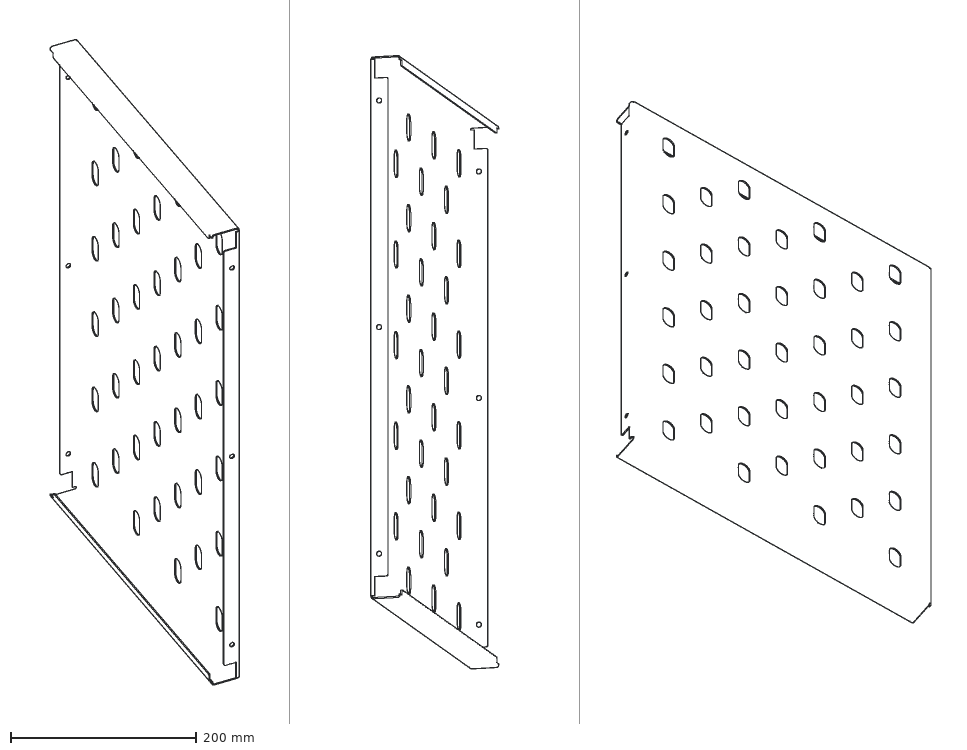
import math

import cadquery as cq

width = 398.0
depth = 33.0
height = 598.0

thickness = 1.5
inner_radius = 1.5
outer_radius = inner_radius + thickness

corner_radius = 2.0

side_depth = 20.0
side_root_depth = 5.0
side_end_gap = 24.0

lip_height = 10.0
lip_root_height = 4.0
lip_end_gap = 7.0

slot_width = 15.0
slot_length = 30.0
slot_pitch = 100.0
row_pitch = 50.0
row_count = 11
wide_row_slots = 4
narrow_row_slots = 3

hole_diameter = 5.5
hole_depth = 10.0
hole_pitch = 250.0

panel_width = width - 2 * outer_radius
panel_height = height - 2 * outer_radius


def block(x_range, y_range, z_range):
    """Box spanning the given (low, high) ranges."""
    lows, highs = zip(x_range, y_range, z_range)
    sizes = [high - low for low, high in zip(lows, highs)]
    return cq.Workplane("XY").box(*sizes, centered=False).translate(lows)


def bend(plane, center, start_angle, length):
    """Quarter ring of sheet about center, centred along the normal of plane."""

    def point(radius, turn):
        angle = math.radians(start_angle + turn)
        return (center[0] + radius * math.cos(angle), center[1] + radius * math.sin(angle))

    return (
        cq.Workplane(plane)
        .moveTo(*point(inner_radius, 0))
        .lineTo(*point(outer_radius, 0))
        .threePointArc(point(outer_radius, 45), point(outer_radius, 90))
        .lineTo(*point(inner_radius, 90))
        .threePointArc(point(inner_radius, 45), point(inner_radius, 0))
        .close()
        .extrude(length / 2, both=True)
    )


def make_panel():
    """Flat back panel."""
    return block(
        (-panel_width / 2, panel_width / 2),
        (-thickness, 0),
        (-panel_height / 2, panel_height / 2),
    )


def make_right_flange():
    """Flange on the +X side, folded forward from the panel."""
    wall = (width / 2 - thickness, width / 2)
    flange_half = height / 2 - side_end_gap
    corner = bend("XY", (panel_width / 2, -outer_radius), 0, panel_height)
    root = block(wall, (-side_root_depth, -outer_radius), (-panel_height / 2, panel_height / 2))
    flange = block(wall, (-side_depth, -side_root_depth), (-flange_half, flange_half))
    flange = flange.edges("|X and <Y").fillet(corner_radius)
    return corner.union(root).union(flange)


def make_top_flange():
    """Flange on the +Z side, folded forward and then down into a lip."""
    across = (-panel_width / 2, panel_width / 2)
    lip_half = panel_width / 2 - lip_end_gap
    lip_wall = (-depth, thickness - depth)
    lip_root = height / 2 - lip_root_height
    back_bend = bend("YZ", (-outer_radius, panel_height / 2), 0, panel_width)
    front_bend = bend("YZ", (outer_radius - depth, panel_height / 2), 90, panel_width)
    flange = block(across, (outer_radius - depth, -outer_radius), (height / 2 - thickness, height / 2))
    root = block(across, lip_wall, (lip_root, panel_height / 2))
    lip = block((-lip_half, lip_half), lip_wall, (height / 2 - lip_height, lip_root))
    lip = lip.edges("|Y and <Z").fillet(corner_radius)
    return back_bend.union(flange).union(front_bend).union(root).union(lip)


def slot_centers():
    """Slot positions; wide and narrow rows alternate from the bottom up."""
    centers = []
    for row in range(row_count):
        count = wide_row_slots if row % 2 == 0 else narrow_row_slots
        z = (row - (row_count - 1) / 2) * row_pitch
        for column in range(count):
            centers.append(((column - (count - 1) / 2) * slot_pitch, z))
    return centers


def make_slots():
    """Upright slot cutters through the panel."""
    return (
        cq.Workplane("XZ")
        .pushPoints(slot_centers())
        .slot2D(slot_length, slot_width, 90)
        .extrude(depth, both=True)
    )


def make_side_holes():
    """Round cutters passing through both side flanges."""
    centers = [(-hole_depth, step * hole_pitch) for step in (-1, 0, 1)]
    return cq.Workplane("YZ").pushPoints(centers).circle(hole_diameter / 2).extrude(width, both=True)


right_flange = make_right_flange()
top_flange = make_top_flange()

result = (
    make_panel()
    .union(right_flange)
    .union(right_flange.mirror("YZ"))
    .union(top_flange)
    .union(top_flange.mirror("XY"))
    .cut(make_slots())
    .cut(make_side_holes())
)